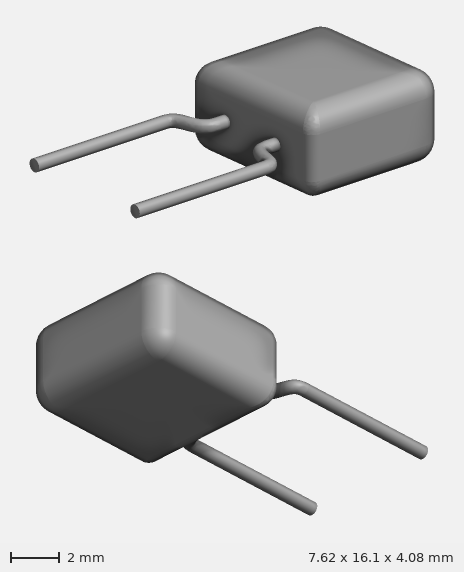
import cadquery as cq

total_length = 16.14
case_width = 7.62
case_length = 7.2
case_height = 4.08

main_radius = 1.0
front_corner_radius = 0.5

wire_diameter = 0.6
root_spacing = 3.16
tip_spacing = 6.35
bend_middle_spacing = 4.78

root_length = 0.48
bend_middle_distance = 1.29
bend_end_distance = 1.92

lead_length = total_length - case_length


def make_case():
    """Rounded block whose two vertical front corners are tighter than its other edges."""
    block = cq.Workplane("XY").box(case_width, case_length, case_height)
    block = block.translate((0, case_length / 2, 0))
    block = block.edges("|X or |Y or (|Z and >Y)").fillet(main_radius)
    return block.edges("|Z and <Y").fillet(front_corner_radius)


def make_lead(side):
    """Round wire with a smooth outward S-bend; side is -1 for the -X lead and +1 for the +X lead."""
    root_x = side * root_spacing / 2
    middle_x = side * bend_middle_spacing / 2
    tip_x = side * tip_spacing / 2
    along_wire = (0, -1)

    path = (
        cq.Workplane("XY")
        .moveTo(root_x, 0)
        .lineTo(root_x, -root_length)
        .spline(
            [(middle_x, -bend_middle_distance), (tip_x, -bend_end_distance)],
            tangents=[along_wire, along_wire],
            includeCurrent=True,
        )
        .lineTo(tip_x, -lead_length)
    )
    section = cq.Workplane("XZ").center(root_x, 0).circle(wire_diameter / 2)
    return section.sweep(path)


case = make_case()
leads = [make_lead(side) for side in (-1, 1)]

result = cq.Compound.makeCompound([case.val(), *[lead.val() for lead in leads]])